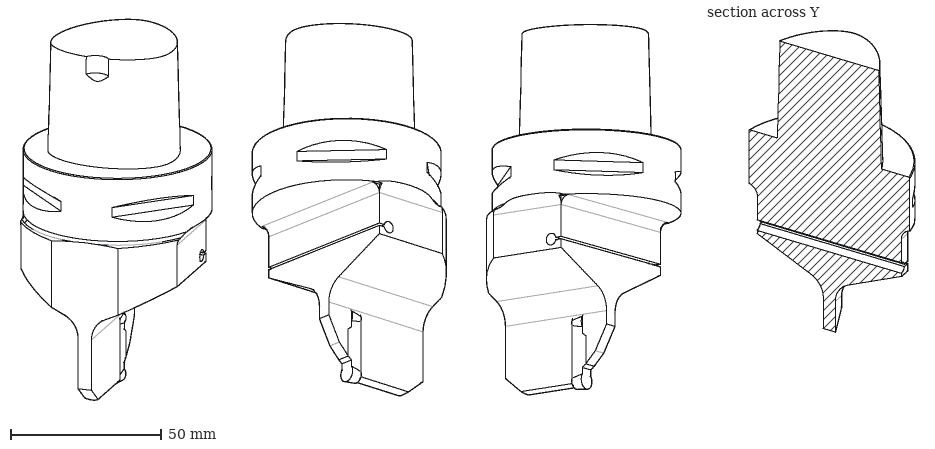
import cadquery as cq
import math


overall_height = 120.0

flange_radius = 63.0 / 2
flange_bottom = -22.1
flange_chamfer = 0.4

slot_count = 4
slot_center_z = -11.9
slot_floor_distance = 27.7
slot_floor_width = 3.4
slot_side_angle = 30

shank_height = 38.0
shank_mean_radius = 22.1
shank_lobe_height = 1.3
shank_taper = 1 / 40
shank_point_count = 48

notch_radius = 4.5
notch_center_y = -21.8
notch_depth = 6.1
notch_tip_height = 3.4

body_half_width = 27.7
body_back_y = 10.1
body_front_offset = 0.5
body_front_y = -(flange_radius + body_front_offset)
body_corner_y = -18.0
body_flat_half_width = 11.8
body_arc_middle = (21.0, -25.8)
shoulder_bottom = -39.7
shoulder_angle = 25
side_fillet_bottom = -25.1
side_fillet_radius = 4.1
back_fillet_radius = flange_bottom - side_fillet_bottom

collar_arc_radius = 32.3
collar_arc_z = -23.2
collar_fillet_radius = 1.1
collar_outer_radius = 34.3
collar_outer_z = -23.8

blade_half_width = 2.4
blade_fillet_radius = 8.4
blade_bottom = -80.8
blade_edge_bottom = -79.9
blade_back_z = -61.5
blade_knee_y = 5.4
blade_knee_z = -70.0
blade_front_chamfer_y = -24.5
blade_front_chamfer_z = -74.6

insert_back_y = -4.3
insert_raised_y = 1.5
insert_step = 1.1
insert_head_radius = 3.0
insert_head_back_radius = 2.5
insert_tip_z = shank_height - overall_height
insert_lower_z = insert_tip_z + insert_head_radius
insert_upper_z = -59.3
insert_middle_z = (insert_lower_z + insert_upper_z) / 2
insert_raised_half_length = 4.8

relief_y = 5.9
relief_z = -36.4
relief_diameter = 4.0
slit_width = 0.8

through_length = 4 * flange_radius


def lobe_point(angle, mean_radius):
    """Point of the three-lobed curve whose support distance is R + e cos(3 a)."""
    lobe_angle = 3 * (angle - math.pi / 2)
    distance = mean_radius + shank_lobe_height * math.cos(lobe_angle)
    slope = -3 * shank_lobe_height * math.sin(lobe_angle)
    return (
        distance * math.cos(angle) - slope * math.sin(angle),
        distance * math.sin(angle) + slope * math.cos(angle),
    )


def lobe_curve(mean_radius):
    angles = [2 * math.pi * i / shank_point_count for i in range(shank_point_count)]
    return [lobe_point(angle, mean_radius) for angle in angles]


def make_shank():
    top_radius = shank_mean_radius - shank_taper * shank_height
    shank = (
        cq.Workplane("XY")
        .spline(lobe_curve(shank_mean_radius), periodic=True)
        .close()
        .workplane(offset=shank_height)
        .spline(lobe_curve(top_radius), periodic=True)
        .close()
        .loft(ruled=True)
    )
    notch_floor = shank_height - notch_depth
    notch = (
        cq.Workplane("XZ")
        .polyline([
            (0, shank_height),
            (notch_radius, shank_height),
            (notch_radius, notch_floor),
            (0, notch_floor - notch_tip_height),
        ])
        .close()
        .revolve(360, (0, 0, 0), (0, 1, 0))
        .translate((0, notch_center_y, 0))
    )
    return shank.cut(notch)


def make_flange():
    flange = (
        cq.Workplane("XY")
        .circle(flange_radius)
        .extrude(flange_bottom)
        .faces(">Z")
        .chamfer(flange_chamfer)
    )
    slot_depth = flange_radius - slot_floor_distance
    floor_half = slot_floor_width / 2
    mouth_half = floor_half + slot_depth * math.tan(math.radians(slot_side_angle))
    slot = (
        cq.Workplane("XZ")
        .polyline([
            (slot_floor_distance, slot_center_z - floor_half),
            (flange_radius, slot_center_z - mouth_half),
            (flange_radius, slot_center_z + mouth_half),
            (slot_floor_distance, slot_center_z + floor_half),
        ])
        .close()
        .extrude(flange_radius, both=True)
    )
    for i in range(slot_count):
        angle = 360 / slot_count * (i + 0.5)
        flange = flange.cut(slot.rotate((0, 0, 0), (0, 0, 1), angle))
    return flange


def make_side_scallops():
    """Concave cutters that blend the body sides into the flange rim."""
    outer_x = body_half_width + side_fillet_radius
    diagonal = side_fillet_radius * math.sqrt(0.5)
    scallop = (
        cq.Workplane("XZ")
        .moveTo(body_half_width, side_fillet_bottom)
        .threePointArc(
            (outer_x - diagonal, side_fillet_bottom + diagonal),
            (outer_x, side_fillet_bottom + side_fillet_radius),
        )
        .lineTo(outer_x, side_fillet_bottom)
        .close()
        .extrude(flange_radius, both=True)
    )
    return scallop.union(scallop.mirror("YZ"))


def make_side_blend():
    """Slab under the flange that the side scallops are shaped from."""
    blend = (
        cq.Workplane("XY", origin=(0, 0, side_fillet_bottom))
        .circle(math.hypot(body_half_width, body_corner_y))
        .extrude(back_fillet_radius)
    )
    span = cq.Workplane("XY").box(
        2 * flange_radius,
        body_back_y - body_corner_y,
        back_fillet_radius,
        centered=(True, False, False),
    ).translate((0, body_corner_y, side_fillet_bottom))
    return blend.intersect(span)


def make_back_blend():
    """Concave fillet between the back of the body and the flange underside."""
    center_y = body_back_y + back_fillet_radius
    diagonal = back_fillet_radius * math.sqrt(0.5)
    return (
        cq.Workplane("YZ")
        .moveTo(body_back_y, side_fillet_bottom)
        .threePointArc(
            (center_y - diagonal, side_fillet_bottom + diagonal),
            (center_y, flange_bottom),
        )
        .lineTo(body_back_y, flange_bottom)
        .close()
        .extrude(body_half_width, both=True)
    )


def make_body_plan():
    """Body outline in plan, extruded over the full height below the flange."""
    arc_x, arc_y = body_arc_middle
    return (
        cq.Workplane("XY", origin=(0, 0, flange_bottom))
        .moveTo(-body_half_width, body_back_y)
        .lineTo(body_half_width, body_back_y)
        .lineTo(body_half_width, body_corner_y)
        .threePointArc((arc_x, arc_y), (body_flat_half_width, body_front_y))
        .lineTo(-body_flat_half_width, body_front_y)
        .threePointArc((-arc_x, arc_y), (-body_half_width, body_corner_y))
        .close()
        .extrude(blade_bottom - flange_bottom)
    )


def make_wedge_profile():
    """Wide shoulders running into the thin blade, as a prism along Y."""
    angle = math.radians(shoulder_angle)
    center_x = blade_half_width + blade_fillet_radius
    start_x = center_x - blade_fillet_radius * math.sin(angle)
    start_z = shoulder_bottom - (body_half_width - start_x) * math.tan(angle)
    center_z = start_z - blade_fillet_radius * math.cos(angle)
    middle_angle = (math.pi / 2 - angle) / 2
    middle_x = center_x - blade_fillet_radius * math.cos(middle_angle)
    middle_z = center_z + blade_fillet_radius * math.sin(middle_angle)
    return (
        cq.Workplane("XZ")
        .moveTo(-body_half_width, 0)
        .lineTo(body_half_width, 0)
        .lineTo(body_half_width, shoulder_bottom)
        .lineTo(start_x, start_z)
        .threePointArc((middle_x, middle_z), (blade_half_width, center_z))
        .lineTo(blade_half_width, blade_edge_bottom)
        .threePointArc((0, blade_bottom), (-blade_half_width, blade_edge_bottom))
        .lineTo(-blade_half_width, center_z)
        .threePointArc((-middle_x, middle_z), (-start_x, start_z))
        .lineTo(-body_half_width, shoulder_bottom)
        .close()
        .extrude(through_length, both=True)
    )


def make_side_profile():
    """Outline of the body and blade in the YZ plane, as a prism along X."""
    raised_bottom = insert_middle_z - insert_raised_half_length
    return (
        cq.Workplane("YZ")
        .polyline([
            (body_back_y, 0),
            (body_back_y, blade_back_z),
            (blade_knee_y, blade_knee_z),
            (insert_raised_y, raised_bottom),
            (insert_back_y, raised_bottom),
            (insert_back_y, blade_bottom),
            (blade_front_chamfer_y, blade_bottom),
            (body_front_y, blade_front_chamfer_z),
            (body_front_y, 0),
        ])
        .close()
        .extrude(through_length, both=True)
    )


def make_collar_cut():
    """Ring that hollows the ledge where the body stands out past the flange."""
    return (
        cq.Workplane("XZ")
        .moveTo(flange_radius, flange_bottom)
        .radiusArc((collar_arc_radius, collar_arc_z), -collar_fillet_radius)
        .lineTo(collar_outer_radius, collar_outer_z)
        .lineTo(collar_outer_radius, flange_bottom)
        .close()
        .revolve(360, (0, 0, 0), (0, 1, 0))
    )


def make_relief():
    """Cross hole with a slit that opens at the back of the body."""
    hole = (
        cq.Workplane("YZ", origin=(0, relief_y, relief_z))
        .circle(relief_diameter / 2)
        .extrude(through_length, both=True)
    )
    slit = cq.Workplane("XY").box(
        through_length, body_back_y - relief_y, slit_width, centered=(True, False, True)
    ).translate((0, relief_y, relief_z))
    return hole.union(slit)


def make_insert():
    """Double-ended insert with two tapered round heads and a raised middle."""
    raised_top = insert_middle_z + insert_raised_half_length
    raised_bottom = insert_middle_z - insert_raised_half_length
    insert = (
        cq.Workplane("YZ")
        .polyline([
            (insert_back_y, insert_upper_z),
            (0, insert_upper_z),
            (0, raised_top + insert_step),
            (insert_raised_y, raised_top),
            (insert_raised_y, raised_bottom),
            (0, raised_bottom - insert_step),
            (0, insert_lower_z),
            (insert_back_y, insert_lower_z),
        ])
        .close()
        .extrude(blade_half_width, both=True)
    )
    for head_z in (insert_upper_z, insert_lower_z):
        head = (
            cq.Workplane("XZ", origin=(0, 0, head_z))
            .circle(insert_head_radius)
            .workplane(offset=-insert_back_y)
            .circle(insert_head_back_radius)
            .loft()
        )
        insert = insert.union(head)
    return insert


def make_holder(insert):
    body = make_body_plan().intersect(make_wedge_profile()).intersect(make_side_profile())
    holder = (
        make_flange()
        .union(make_shank())
        .union(body)
        .union(make_side_blend())
        .union(make_back_blend())
    )
    holder = holder.cut(make_collar_cut()).cut(make_side_scallops())
    return holder.cut(make_relief()).cut(insert)


insert = make_insert()
holder = make_holder(insert)
result = cq.Compound.makeCompound([holder.solids().val(), insert.solids().val()])